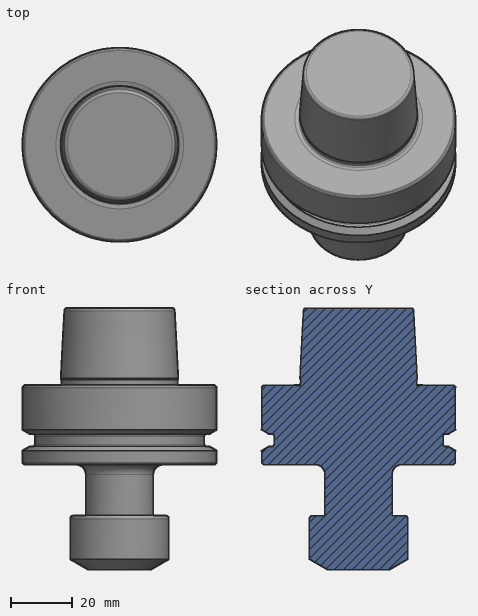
import cadquery as cq
import math


taper_height = 25.0
taper_top_radius = 17.9
taper_base_radius = 19.1
taper_base_z = 2.1
taper_top_round = 1.0

relief_radius = 18.9
relief_top_z = 1.6
recess_outer_radius = 20.7
recess_depth = 0.3
relief_root_round = 0.4

flange_radius = 63.0 / 2
flange_bottom_z = -25.9
flange_chamfer = 0.7
flange_chamfer_round = 0.4

groove_floor_radius = 55.0 / 2
groove_center_z = -17.9
groove_mouth_width = 6.7
groove_wall_width = 4.0
groove_mouth_angle = 30.0
groove_corner_round = 0.7

shank_radius = 22.0 / 2
shank_root_round = 3.0
head_radius = 32.0 / 2
head_top_z = -42.3
head_bottom_z = -59.9
head_top_round = 1.0
head_chamfer_height = 3.4
head_chamfer_angle = 30.0

flange_face_radius = flange_radius - flange_chamfer
groove_mouth_top_z = groove_center_z + groove_mouth_width / 2
groove_mouth_bottom_z = groove_center_z - groove_mouth_width / 2
groove_top_z = groove_center_z + groove_wall_width / 2
groove_bottom_z = groove_center_z - groove_wall_width / 2
groove_mouth_height = (groove_mouth_width - groove_wall_width) / 2
groove_wall_radius = flange_radius - groove_mouth_height / math.tan(math.radians(groove_mouth_angle))
head_bottom_radius = head_radius - head_chamfer_height / math.tan(math.radians(head_chamfer_angle))

match_tolerance = 1e-4


def make_sharp_body():
    """Revolve the half profile, given as (radius, z) corners from the bottom up."""
    head = [
        (0, head_bottom_z),
        (head_bottom_radius, head_bottom_z),
        (head_radius, head_bottom_z + head_chamfer_height),
        (head_radius, head_top_z),
        (shank_radius, head_top_z),
    ]
    flange_below_groove = [
        (shank_radius, flange_bottom_z),
        (flange_face_radius, flange_bottom_z),
        (flange_radius, flange_bottom_z + flange_chamfer),
        (flange_radius, groove_mouth_bottom_z),
    ]
    groove = [
        (groove_wall_radius, groove_bottom_z),
        (groove_floor_radius, groove_bottom_z),
        (groove_floor_radius, groove_top_z),
        (groove_wall_radius, groove_top_z),
    ]
    flange_above_groove = [
        (flange_radius, groove_mouth_top_z),
        (flange_radius, -flange_chamfer),
        (flange_face_radius, 0),
        (recess_outer_radius, 0),
    ]
    taper = [
        (relief_radius, -recess_depth),
        (relief_radius, relief_top_z),
        (taper_base_radius, taper_base_z),
        (taper_top_radius, taper_height),
        (0, taper_height),
    ]
    corners = head + flange_below_groove + groove + flange_above_groove + taper
    return cq.Workplane("XZ").polyline(corners).close().revolve(360, (0, 0, 0), (0, 1, 0))


def round_edges(body, size, rings):
    """Fillet the circular edges lying at the given (radius, z) rings."""

    def is_wanted(edge):
        return any(
            abs(edge.radius() - radius) < match_tolerance and abs(edge.Center().z - z) < match_tolerance
            for radius, z in rings
        )

    return body.edges("%CIRCLE").filter(is_wanted).fillet(size)


result = make_sharp_body()
result = round_edges(result, taper_top_round, [(taper_top_radius, taper_height)])
result = round_edges(result, relief_root_round, [(relief_radius, -recess_depth)])
result = round_edges(
    result,
    flange_chamfer_round,
    [
        (flange_face_radius, 0),
        (flange_radius, -flange_chamfer),
        (flange_face_radius, flange_bottom_z),
        (flange_radius, flange_bottom_z + flange_chamfer),
    ],
)
result = round_edges(
    result,
    groove_corner_round,
    [(groove_floor_radius, groove_top_z), (groove_floor_radius, groove_bottom_z)],
)
result = round_edges(result, shank_root_round, [(shank_radius, flange_bottom_z)])
result = round_edges(result, head_top_round, [(head_radius, head_top_z)])